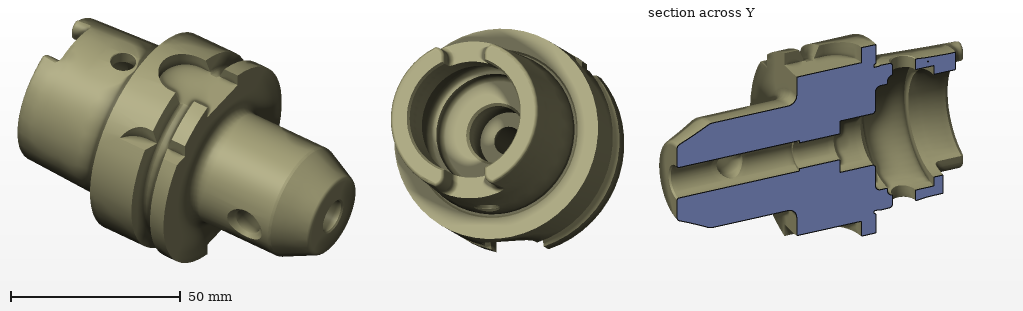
import cadquery as cq
import math

LENGTH = 97.0

TAPER_GAUGE_R = 48.0 / 2
TAPER_GAUGE_X = 25.6
TAPER_END_X = 29.6
TAPER_SLOPE = 0.05
TAPER_FRONT_R = TAPER_GAUGE_R - TAPER_SLOPE * TAPER_GAUGE_X
TAPER_BASE_R = TAPER_FRONT_R + TAPER_SLOPE * TAPER_END_X
MOUTH_ROUND = 1.0

UNDERCUT_START_X = 30.5
UNDERCUT_FULL_X = 31.2
UNDERCUT_DEPTH = 0.2
FACE_RELIEF_R = 25.2
FACE_RELIEF_DEPTH = 0.6

FLANGE_R = 63.0 / 2
FLANGE_START_X = 31.9
FLANGE_END_X = 57.9
GROOVE_CENTER_X = 49.9
GROOVE_MOUTH_WIDTH = 6.6
GROOVE_FLOOR_WIDTH = 3.0
GROOVE_FLOOR_R = 27.45
GROOVE_FILLET = 1.0

SHANK_R = 35.0 / 2
SHANK_FILLET = 2.8
NOSE_START_X = 86.0
NOSE_ANGLE = 25.0
NOSE_END_R = SHANK_R - (LENGTH - NOSE_START_X) * math.tan(math.radians(NOSE_ANGLE))
NOSE_BLEND = 1.9
NOSE_END_ROUND = 1.4

MOUTH_BORE_R = 34.0 / 2
MOUTH_BORE_CHAMFER = 0.6
MOUTH_BORE_END_X = 13.1
MOUTH_BORE_CHAMFER_ANGLE = 30.0
CLAMP_BORE_R = 40.0 / 2
CLAMP_BORE_END_X = 28.1
CLAMP_BORE_FILLET = 1.9
INNER_BORE_R = 34.5 / 2
INNER_BORE_END_X = 32.0
INNER_BORE_FILLET = 1.6
TUBE_HOLE_R = 17.0 / 2
TUBE_HOLE_CHAMFER_R = 18.5 / 2
TUBE_HOLE_END_X = 43.65
THROUGH_HOLE_R = 8.4 / 2
TOOL_BORE_R = 10.0 / 2
TOOL_BORE_CHAMFER_R = 11.0 / 2
TOOL_BORE_DEPTH = 40.0

DRIVE_HALF_WIDTH = 6.2
DRIVE_FLARE_Z = 17.9
DRIVE_FLARE_R = 3.0
DRIVE_FLARE_HALF_WIDTH = 14.55
UPPER_DRIVE_DEPTH = 5.9
LOWER_DRIVE_DEPTH = 9.9
DRIVE_FLOOR_FILLET = 1.5

CUTTER_R = 8.05
CUTTER_STOP_X = 44.8
KEYWAY_FLOOR_Z = 26.5
NOTCH_OFFSET = 20.0

CROSS_HOLE_X = 22.8
CROSS_HOLE_R = 7.5 / 2
CROSS_HOLE_MOUTH_R = 8.3 / 2

SCREW_HOLE_X = 77.3
SCREW_HOLE_R = 8.4 / 2
SCREW_SINK_R = 6.1

MARGIN = 1.0


def revolve_about_x(outline):
    return outline.close().revolve(360, (0, 0, 0), (1, 0, 0))


def fillet_ring(body, x, radius, fillet):
    """Round the circular edge of a turned body at one axial place and radius."""
    gap = fillet / 10

    def centered_box(half_width):
        return cq.selectors.BoxSelector(
            (x - gap, -half_width, -half_width),
            (x + gap, half_width, half_width),
            boundingbox=True,
        )

    ring = centered_box(radius + gap) - centered_box(radius - gap)
    return body.edges(ring).fillet(fillet)


def make_body():
    """Turned outside of the holder, with a sharp front edge on the taper."""
    undercut_r = TAPER_BASE_R - UNDERCUT_DEPTH
    relief_x = FLANGE_START_X + FACE_RELIEF_DEPTH
    groove_mouth = GROOVE_MOUTH_WIDTH / 2
    groove_floor = GROOVE_FLOOR_WIDTH / 2
    outline = (
        cq.Workplane("XY")
        .moveTo(0, 0)
        .lineTo(0, TAPER_FRONT_R)
        .lineTo(TAPER_END_X, TAPER_BASE_R)
        .lineTo(UNDERCUT_START_X, TAPER_BASE_R)
        .lineTo(UNDERCUT_FULL_X, undercut_r)
        .lineTo(relief_x, undercut_r)
        .lineTo(relief_x, FACE_RELIEF_R - FACE_RELIEF_DEPTH)
        .lineTo(FLANGE_START_X, FACE_RELIEF_R)
        .lineTo(FLANGE_START_X, FLANGE_R)
        .lineTo(GROOVE_CENTER_X - groove_mouth, FLANGE_R)
        .lineTo(GROOVE_CENTER_X - groove_floor, GROOVE_FLOOR_R)
        .lineTo(GROOVE_CENTER_X + groove_floor, GROOVE_FLOOR_R)
        .lineTo(GROOVE_CENTER_X + groove_mouth, FLANGE_R)
        .lineTo(FLANGE_END_X, FLANGE_R)
        .lineTo(FLANGE_END_X, SHANK_R)
        .lineTo(NOSE_START_X, SHANK_R)
        .lineTo(LENGTH, NOSE_END_R)
        .lineTo(LENGTH, 0)
    )
    body = revolve_about_x(outline)
    for side in (-1, 1):
        body = fillet_ring(body, GROOVE_CENTER_X + side * groove_floor, GROOVE_FLOOR_R, GROOVE_FILLET)
    body = fillet_ring(body, FLANGE_END_X, SHANK_R, SHANK_FILLET)
    body = fillet_ring(body, NOSE_START_X, SHANK_R, NOSE_BLEND)
    return fillet_ring(body, LENGTH, NOSE_END_R, NOSE_END_ROUND)


def drive_slot(depth, direction):
    """Slot from the axis outwards (direction +1 up, -1 down), flaring near the taper surface."""
    flare_end_z = DRIVE_FLARE_Z + DRIVE_FLARE_R
    flare_y = DRIVE_HALF_WIDTH + DRIVE_FLARE_R
    arc_reach = DRIVE_FLARE_R * math.sqrt(0.5)
    arc_mid = (flare_y - arc_reach, DRIVE_FLARE_Z + arc_reach)
    outer_z = TAPER_BASE_R + MARGIN
    slot = (
        cq.Workplane("YZ", origin=(-MARGIN, 0, 0))
        .moveTo(-DRIVE_HALF_WIDTH, 0)
        .lineTo(DRIVE_HALF_WIDTH, 0)
        .lineTo(DRIVE_HALF_WIDTH, DRIVE_FLARE_Z)
        .threePointArc(arc_mid, (flare_y, flare_end_z))
        .lineTo(DRIVE_FLARE_HALF_WIDTH, flare_end_z)
        .lineTo(DRIVE_FLARE_HALF_WIDTH, outer_z)
        .lineTo(-DRIVE_FLARE_HALF_WIDTH, outer_z)
        .lineTo(-DRIVE_FLARE_HALF_WIDTH, flare_end_z)
        .lineTo(-flare_y, flare_end_z)
        .threePointArc((-arc_mid[0], arc_mid[1]), (-DRIVE_HALF_WIDTH, DRIVE_FLARE_Z))
        .close()
        .extrude(depth + MARGIN)
    )
    slot = slot.faces(">X").edges("not(>Z or <Z)").fillet(DRIVE_FLOOR_FILLET)
    slot = slot.union(slot_lip(slot))
    return slot if direction > 0 else slot.mirror("XY")


def slot_lip(slot):
    """Material removed by rounding the front edges along a slot."""
    block_half_width = DRIVE_FLARE_HALF_WIDTH - MARGIN
    block = cq.Workplane("XY").box(
        2 * MOUTH_ROUND, 2 * block_half_width, TAPER_BASE_R, centered=(False, True, False)
    )
    lands = block.cut(slot)
    along_slot = cq.selectors.BoxSelector(
        (-MOUTH_ROUND, MARGIN / 2 - block_half_width, MARGIN),
        (MOUTH_ROUND, block_half_width - MARGIN / 2, TAPER_BASE_R),
    )
    rounded = lands.faces("<X").edges(along_slot).fillet(MOUTH_ROUND)
    return block.cut(rounded)


def mouth_rounding():
    """Ring of material outside the rounded front edge of the taper."""
    outer_r = TAPER_FRONT_R + MARGIN
    bend = MOUTH_ROUND * (1 - math.sqrt(0.5))
    tangent_r = TAPER_FRONT_R + TAPER_SLOPE * MOUTH_ROUND
    return revolve_about_x(
        cq.Workplane("XY")
        .moveTo(0, tangent_r - MOUTH_ROUND)
        .threePointArc((bend, tangent_r - bend), (MOUTH_ROUND, tangent_r))
        .lineTo(MOUTH_ROUND, outer_r)
        .lineTo(-MARGIN, outer_r)
        .lineTo(-MARGIN, tangent_r - MOUTH_ROUND)
    )


def cut_drive_slots(body):
    body = body.cut(drive_slot(UPPER_DRIVE_DEPTH, 1)).cut(drive_slot(LOWER_DRIVE_DEPTH, -1))
    return body.cut(mouth_rounding())


def make_bores():
    """One turned shape that holds every hole along the axis."""
    mouth_chamfer_length = MOUTH_BORE_CHAMFER / math.tan(math.radians(MOUTH_BORE_CHAMFER_ANGLE))
    mouth_r = MOUTH_BORE_R + MOUTH_BORE_CHAMFER
    tube_chamfer = TUBE_HOLE_CHAMFER_R - TUBE_HOLE_R
    tool_chamfer = TOOL_BORE_CHAMFER_R - TOOL_BORE_R
    tool_bore_x = LENGTH - TOOL_BORE_DEPTH
    outline = (
        cq.Workplane("XY")
        .moveTo(0, 0)
        .lineTo(0, mouth_r)
        .lineTo(mouth_chamfer_length, MOUTH_BORE_R)
        .lineTo(MOUTH_BORE_END_X, MOUTH_BORE_R)
        .lineTo(MOUTH_BORE_END_X, CLAMP_BORE_R)
        .lineTo(CLAMP_BORE_END_X, CLAMP_BORE_R)
        .lineTo(CLAMP_BORE_END_X, INNER_BORE_R)
        .lineTo(INNER_BORE_END_X, INNER_BORE_R)
        .lineTo(INNER_BORE_END_X, TUBE_HOLE_CHAMFER_R)
        .lineTo(INNER_BORE_END_X + tube_chamfer, TUBE_HOLE_R)
        .lineTo(TUBE_HOLE_END_X, TUBE_HOLE_R)
        .lineTo(TUBE_HOLE_END_X, THROUGH_HOLE_R)
        .lineTo(tool_bore_x, THROUGH_HOLE_R)
        .lineTo(tool_bore_x, TOOL_BORE_R)
        .lineTo(LENGTH - tool_chamfer, TOOL_BORE_R)
        .lineTo(LENGTH, TOOL_BORE_CHAMFER_R)
        .lineTo(LENGTH, 0)
    )
    bores = revolve_about_x(outline)
    bores = fillet_ring(bores, CLAMP_BORE_END_X, CLAMP_BORE_R, CLAMP_BORE_FILLET)
    return fillet_ring(bores, INNER_BORE_END_X, INNER_BORE_R, INNER_BORE_FILLET)


def milled_path(center_y, floor_z):
    """Volume swept by the flange cutter, from its round end out past the back of the flange."""
    run = FLANGE_END_X + MARGIN - CUTTER_STOP_X
    return (
        cq.Workplane("XY", origin=(CUTTER_STOP_X, center_y, floor_z))
        .moveTo(run, -CUTTER_R)
        .lineTo(0, -CUTTER_R)
        .threePointArc((-CUTTER_R, 0), (0, CUTTER_R))
        .lineTo(run, CUTTER_R)
        .close()
        .extrude(FLANGE_R + MARGIN - floor_z)
    )


def cut_flange(body):
    """Keyways at the top and bottom, and a square corner notch between top and -Y."""
    keyway = milled_path(0, KEYWAY_FLOOR_Z)
    keyways = keyway.union(keyway.rotate((0, 0, 0), (1, 0, 0), 180))
    notch = milled_path(-NOTCH_OFFSET - CUTTER_R, NOTCH_OFFSET)
    return body.cut(keyways).cut(notch)


def cut_cross_hole(body):
    """Vertical hole through both walls of the taper, chamfered outside."""
    surface_r = TAPER_FRONT_R + TAPER_SLOPE * CROSS_HOLE_X
    sink_depth = CROSS_HOLE_MOUTH_R - CROSS_HOLE_R
    hole = (
        cq.Workplane("XY", origin=(CROSS_HOLE_X, 0, -FLANGE_R))
        .circle(CROSS_HOLE_R)
        .extrude(2 * FLANGE_R)
    )
    sink = cq.Workplane(
        cq.Solid.makeCone(
            CROSS_HOLE_R,
            CROSS_HOLE_MOUTH_R + MARGIN,
            sink_depth + MARGIN,
            cq.Vector(CROSS_HOLE_X, 0, surface_r - sink_depth),
            cq.Vector(0, 0, 1),
        )
    )
    return body.cut(hole).cut(sink).cut(sink.mirror("XY"))


def cut_screw_hole(body):
    """Countersunk hole in the -Y side of the shank, ending in the tool bore."""
    outward = cq.Vector(0, -1, 0)
    sink_depth = SCREW_SINK_R - SCREW_HOLE_R
    hole = cq.Solid.makeCylinder(SCREW_HOLE_R, SHANK_R, cq.Vector(SCREW_HOLE_X, 0, 0), outward)
    sink = cq.Solid.makeCone(
        SCREW_HOLE_R,
        SCREW_SINK_R + MARGIN,
        sink_depth + MARGIN,
        cq.Vector(SCREW_HOLE_X, sink_depth - SHANK_R, 0),
        outward,
    )
    return body.cut(cq.Workplane(hole)).cut(cq.Workplane(sink))


result = cut_drive_slots(make_body())
result = result.cut(make_bores())
result = cut_flange(result)
result = cut_cross_hole(result)
result = cut_screw_hole(result)